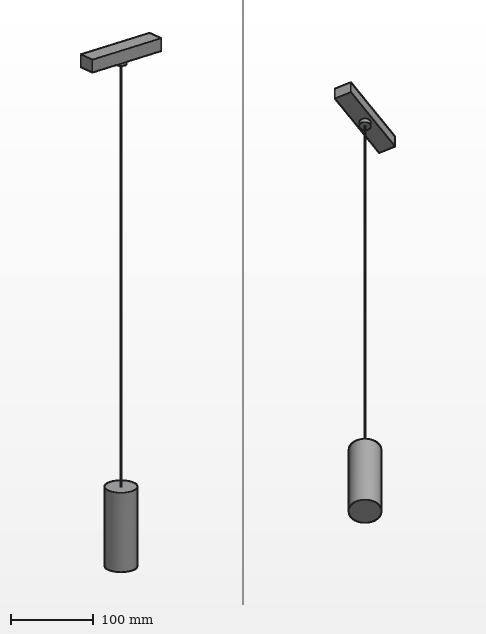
import cadquery as cq

total_height = 677.5

bar_width = 22.5
bar_length = 108.0
bar_height = 17.0

collar_diameter = 14.0
collar_height = 6.0

cable_diameter = 2.0

lamp_diameter = 40.0
lamp_height = 103.5

bar_bottom = total_height - bar_height
collar_bottom = bar_bottom - collar_height


def upright_cylinder(diameter, bottom, top):
    """Cylinder on the Z axis between two heights."""
    return cq.Workplane("XY").workplane(offset=bottom).circle(diameter / 2).extrude(top - bottom)


lamp = upright_cylinder(lamp_diameter, 0, lamp_height)
cable = upright_cylinder(cable_diameter, lamp_height, collar_bottom)
collar = upright_cylinder(collar_diameter, collar_bottom, bar_bottom)
bar = cq.Workplane("XY").workplane(offset=bar_bottom).rect(bar_width, bar_length).extrude(bar_height)

result = lamp.union(cable).union(collar).union(bar)